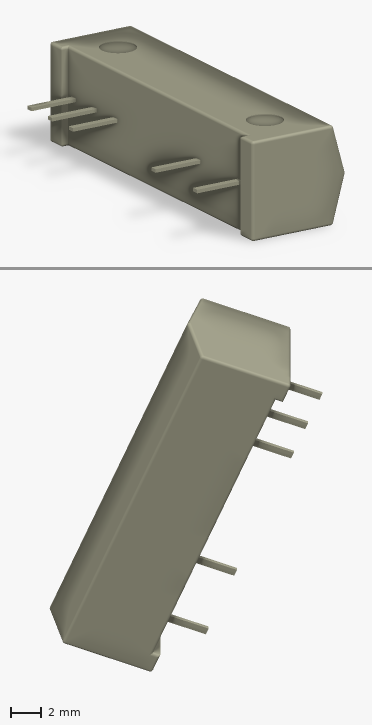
import cadquery as cq

length = 24.9
height = 7.0
depth = 7.37
roof_depth = 0.97
edge_radius = 0.2

foot_width = 1.5
foot_depth = 0.52

dimple_diameter = 2.55
dimple_spacing = 18.0
dimple_y = 3.2
dimple_depth = 0.1

pin_pitch = 2.55
pin_slots = (0, 1, 2, 6, 8)
first_pin_x = 2.25 - length / 2
pin_width = 0.5
pin_thickness = 0.25
pin_reach = 3.01
pin_embed = 0.25


def make_housing():
    """Five-sided bar with a recessed front and rounded edges."""
    half_height = height / 2
    shoulder_y = depth - roof_depth
    profile = [
        (0, -half_height),
        (shoulder_y, -half_height),
        (depth, 0),
        (shoulder_y, half_height),
        (0, half_height),
    ]
    bar = cq.Workplane("YZ").polyline(profile).close().extrude(length / 2, both=True)
    recess = cq.Workplane("XY").box(length - 2 * foot_width, 2 * foot_depth, height)
    return bar.cut(recess).faces("<Z or >Z or <X or >X").edges().fillet(edge_radius)


def make_dimples():
    """Shallow cylinders that sink into the top face."""
    half_spacing = dimple_spacing / 2
    return (
        cq.Workplane("XY", origin=(0, dimple_y, height / 2 - dimple_depth))
        .pushPoints([(-half_spacing, 0), (half_spacing, 0)])
        .circle(dimple_diameter / 2)
        .extrude(dimple_depth)
    )


def make_pins():
    """Row of flat pins from inside the housing out past the feet."""
    pin_length = pin_reach + foot_depth + pin_embed
    pin_center_y = pin_length / 2 - pin_reach
    centers = [(first_pin_x + slot * pin_pitch, pin_center_y) for slot in pin_slots]
    return (
        cq.Workplane("XY")
        .pushPoints(centers)
        .rect(pin_width, pin_length)
        .extrude(pin_thickness / 2, both=True)
    )


result = make_housing().cut(make_dimples()).union(make_pins())
result = result.translate((0, (pin_reach - depth) / 2, 0))